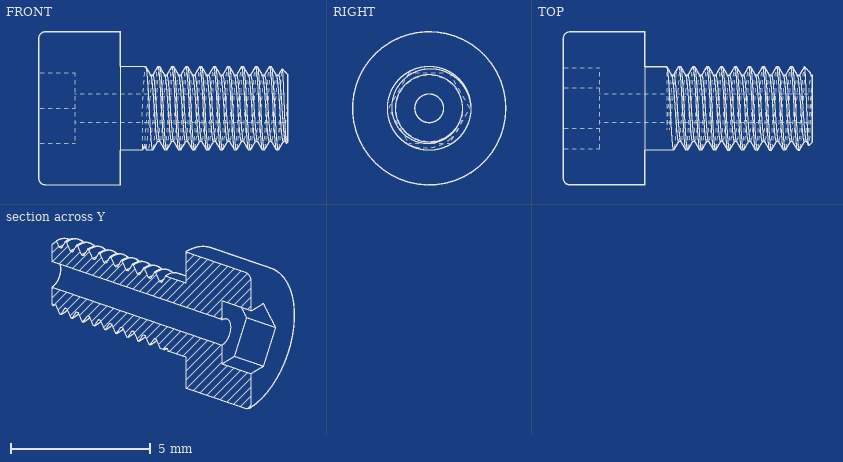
import cadquery as cq
import math

HEAD_DIAMETER = 5.5
HEAD_HEIGHT = 2.93
HEAD_FILLET = 0.25

SOCKET_SIDES = 6
SOCKET_ACROSS_FLATS = 2.52
SOCKET_DEPTH = 1.3
BORE_DIAMETER = 1.02

SHANK_LENGTH = 6.0
END_CHAMFER = 0.29
HEAD_OVERLAP = 0.25

THREAD_DIAMETER = 3.0
PITCH = 0.5
CREST_WIDTH = PITCH / 8
THREAD_DEPTH = 0.307
FLANK_ANGLE = 60
FLANK_SLOPE = math.tan(math.radians(FLANK_ANGLE / 2))
FULL_DEPTH_START = 1.0
RUNOUT_TURNS = 1 / 3
GROOVE_CLEARANCE = 0.05

THREAD_RADIUS = THREAD_DIAMETER / 2
ROOT_WIDTH = PITCH - CREST_WIDTH - 2 * THREAD_DEPTH * FLANK_SLOPE
FULL_DEPTH_TURNS = math.ceil((SHANK_LENGTH - FULL_DEPTH_START) / PITCH) + 1
POINTS_PER_TURN = 24


def cylinder(radius, start, length):
    return cq.Workplane("YZ", origin=(start, 0, 0)).circle(radius).extrude(length)


def make_head():
    head = cylinder(HEAD_DIAMETER / 2, -HEAD_HEIGHT, HEAD_HEIGHT)
    return head.faces("<X").edges().fillet(HEAD_FILLET)


def make_shank():
    shank = cylinder(THREAD_RADIUS, -HEAD_OVERLAP, SHANK_LENGTH + HEAD_OVERLAP)
    return shank.faces(">X").chamfer(END_CHAMFER)


def make_socket():
    across_corners = SOCKET_ACROSS_FLATS / math.cos(math.pi / SOCKET_SIDES)
    face = cq.Workplane("YZ", origin=(-HEAD_HEIGHT, 0, 0))
    return face.polygon(SOCKET_SIDES, across_corners).extrude(SOCKET_DEPTH)


def make_bore():
    return cylinder(BORE_DIAMETER / 2, -HEAD_HEIGHT, HEAD_HEIGHT + SHANK_LENGTH)


def groove_section(turn):
    """Corners of the groove cutter after a number of turns from +Y; negative turns run out."""
    lift = THREAD_DEPTH * max(0, -turn) / RUNOUT_TURNS
    root_radius = THREAD_RADIUS - THREAD_DEPTH + lift
    height = THREAD_DEPTH + GROOVE_CLEARANCE
    mouth_radius = root_radius + height
    half_root = ROOT_WIDTH / 2
    half_mouth = half_root + height * FLANK_SLOPE
    centre = FULL_DEPTH_START + turn * PITCH
    profile = [
        (-half_mouth, mouth_radius),
        (-half_root, root_radius),
        (half_root, root_radius),
        (half_mouth, mouth_radius),
    ]
    angle = 2 * math.pi * turn
    return [
        cq.Vector(centre + offset, radius * math.cos(angle), radius * math.sin(angle))
        for offset, radius in profile
    ]


def groove_cap(turn):
    return cq.Face.makeFromWires(cq.Wire.makePolygon(groove_section(turn), close=True))


def make_groove(start_turn, end_turn):
    """Cutter for one stretch of the groove: ruled faces between its four corner curves."""
    steps = math.ceil((end_turn - start_turn) * POINTS_PER_TURN)
    step = (end_turn - start_turn) / steps
    sections = [groove_section(start_turn + i * step) for i in range(steps + 1)]
    curves = [cq.Edge.makeSpline(list(points)) for points in zip(*sections)]
    sides = [cq.Face.makeRuledSurface(curves[i - 1], curves[i]) for i in range(len(curves))]
    shell = cq.Shell.makeShell(sides + [groove_cap(start_turn), groove_cap(end_turn)])
    return cq.Workplane(cq.Solid.makeSolid(shell).fix())


def cut_thread(shank):
    shank = shank.cut(make_groove(0, FULL_DEPTH_TURNS))
    return shank.cut(make_groove(-RUNOUT_TURNS, 0))


screw = make_head().union(cut_thread(make_shank()))
result = screw.cut(make_socket()).cut(make_bore()).solids()